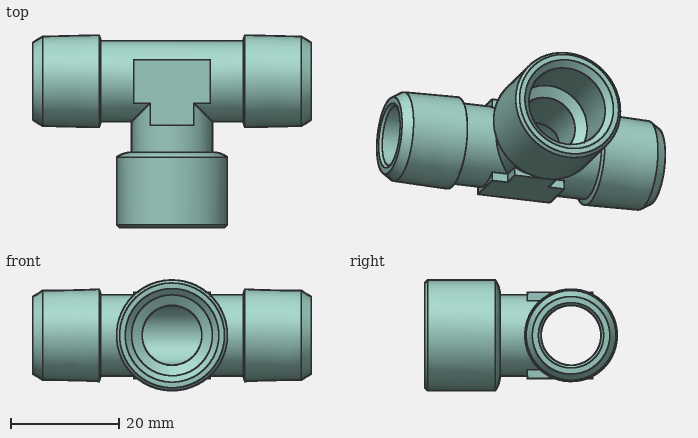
import cadquery as cq
import math

run_length = 51.5
pipe_radius = 7.5
bore_radius = 5.5
collar_length = 12.6
collar_root_radius = 8.55
collar_tip_radius = 8.3
collar_root_bevel = 0.3
run_tip_bevel = 1.85
run_end_radius = 7.15
run_mouth_chamfer = 0.5

branch_reach = 27.05
socket_start = 13.1
socket_radius = 10.25
socket_back_rounding = 0.95
socket_front_chamfer = 0.55
socket_bore_radius = 7.45
socket_bore_depth = 11.35
socket_mouth_chamfer = 1.2
shoulder_angle = 60.0

pad_half_width = 7.05
pad_half_depth = 4.0
pad_stem_half_width = 4.0
pad_stem_reach = 8.1
pad_height = 8.0
pad_underside = 6.3

half_run = run_length / 2


def revolve_about_x(profile):
    """Revolve a profile of (distance along X, radius) points."""
    return cq.Workplane("XY").polyline(profile).close().revolve(360, (0, 0, 0), (1, 0, 0))


def run_collar():
    """Tapered collar at the +X end."""
    root = half_run - collar_length
    return revolve_about_x([
        (root, 0),
        (root, pipe_radius),
        (root + collar_root_bevel, collar_root_radius),
        (half_run - run_tip_bevel, collar_tip_radius),
        (half_run, run_end_radius),
        (half_run, 0),
    ])


def run_mouth():
    """Chamfer cutter for the bore at the +X end."""
    return revolve_about_x([
        (half_run - run_mouth_chamfer, 0),
        (half_run - run_mouth_chamfer, bore_radius),
        (half_run, bore_radius + run_mouth_chamfer),
        (half_run, 0),
    ])


def branch_body():
    """Branch pipe and its socket, whose back is a shallow arc square to the pipe."""
    rise = socket_radius - pipe_radius
    arc_radius = (rise**2 + socket_back_rounding**2) / (2 * socket_back_rounding)
    middle_rise = rise / 2
    middle_drop = arc_radius - math.sqrt(arc_radius**2 - middle_rise**2)
    return (
        cq.Workplane("XY")
        .lineTo(pipe_radius, 0)
        .lineTo(pipe_radius, -socket_start)
        .threePointArc(
            (pipe_radius + middle_rise, -socket_start - middle_drop),
            (socket_radius, -socket_start - socket_back_rounding),
        )
        .lineTo(socket_radius, -branch_reach + socket_front_chamfer)
        .lineTo(socket_radius - socket_front_chamfer, -branch_reach)
        .lineTo(0, -branch_reach)
        .close()
        .revolve(360, (0, 0, 0), (0, 1, 0))
    )


def branch_bore():
    """Stepped bore with a conical shoulder and a chamfered mouth."""
    shoulder = branch_reach - socket_bore_depth
    shoulder_length = (socket_bore_radius - bore_radius) / math.tan(math.radians(shoulder_angle))
    profile = [
        (0, 0),
        (bore_radius, 0),
        (bore_radius, -shoulder + shoulder_length),
        (socket_bore_radius, -shoulder),
        (socket_bore_radius, -branch_reach + socket_mouth_chamfer),
        (socket_bore_radius + socket_mouth_chamfer, -branch_reach),
        (0, -branch_reach),
    ]
    return cq.Workplane("XY").polyline(profile).close().revolve(360, (0, 0, 0), (0, 1, 0))


def upper_pad():
    """T-shaped flat on the +Z side."""
    outline = [
        (-pad_half_width, pad_half_depth),
        (pad_half_width, pad_half_depth),
        (pad_half_width, -pad_half_depth),
        (pad_stem_half_width, -pad_half_depth),
        (pad_stem_half_width, -pad_stem_reach),
        (-pad_stem_half_width, -pad_stem_reach),
        (-pad_stem_half_width, -pad_half_depth),
        (-pad_half_width, -pad_half_depth),
    ]
    plane = cq.Workplane("XY", origin=(0, 0, pad_underside))
    return plane.polyline(outline).close().extrude(pad_height - pad_underside)


def run_cylinder(radius, half_length):
    """Cylinder on the X axis, centred on the branch."""
    return cq.Workplane("YZ").circle(radius).extrude(half_length, both=True)


collar = run_collar()
pad = upper_pad()
body = run_cylinder(pipe_radius, half_run - collar_length)
body = body.union(branch_body())
for piece in (collar, collar.mirror("YZ"), pad, pad.mirror("XY")):
    body = body.union(piece)

mouth = run_mouth()
for cutter in (run_cylinder(bore_radius, half_run), mouth, mouth.mirror("YZ"), branch_bore()):
    body = body.cut(cutter)

result = body